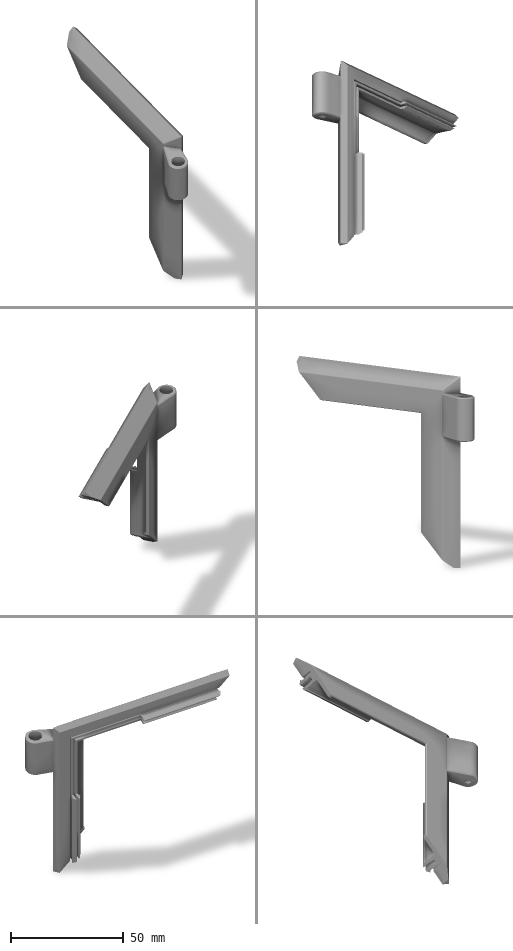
import cadquery as cq
import math


OVERALL_LENGTH = 97.5

LEG_LENGTH = 87.0
LEG_WIDTH = 17.6
LEG_THICKNESS = 8.0
TIP_FLAT = 2.1
RIDGE_Y = 5.9
WALL_WIDTH = 7.3
PLATE_THICKNESS = 2.0
EDGE_CHAMFER = 0.3
SLOPE_ROUND = 0.8

RECESS_DEPTH = 0.6
RECESS_BEVEL_WIDTH = 0.4
RECESS_BEVEL_HEIGHT = 0.6
RECESS_SETBACK = 1.2

ARM_ROOT_CENTRE = 9.4
ARM_LEAN = 0.2
ARM_HALF_WIDTH = 1.6
ARM_HALF_GAP = 0.6
ARM_ROOT_Y = 1.0
GAP_BOTTOM_Y = 4.1
OUTER_SLOT_BOTTOM_Y = 2.3
BEND_START_Y = 5.1
BEND_END_Y = 7.3
RAIL_HEIGHT = 3.4
RAIL_START = 42.5
NECK_HALF_WIDTH = 1.5
NECK_HEIGHT = 0.4
BARB_HALF_WIDTH = 2.0
BARB_HEIGHT = 1.8
BARB_FOOT_HEIGHT = 1.4
ARM_TIP_HALF_WIDTH = 1.0

EYE_RADIUS = 4.5
EYE_X = OVERALL_LENGTH - LEG_LENGTH - EYE_RADIUS
EYE_TOP_Z = -7.3
EYE_HEIGHT = 20.0
EYE_CHAMFER = 0.5
EYE_BURIAL = 1.5
BORE_DIAMETER = 3.0
COUNTERBORE_DIAMETER = 6.1
COUNTERBORE_DEPTH = EYE_HEIGHT / 2

BACK_RIDGE = LEG_THICKNESS - RIDGE_Y
ARM_TIP_CENTRE = ARM_ROOT_CENTRE + ARM_LEAN
ARM_TOP_Y = LEG_THICKNESS + RAIL_HEIGHT


def leg_prism(section, setback=0):
    """Top-leg prism of a (distance from ridge, y) section, mitred at the corner and at the tip.

    setback moves the tip mitre towards the corner.
    """
    prism = cq.Workplane("YZ").polyline([(y, -d) for d, y in section]).close().extrude(-LEG_LENGTH)
    tip_x = setback - LEG_LENGTH
    mitred = (
        cq.Workplane("XZ")
        .polyline([
            (0, 0),
            (tip_x, 0),
            (tip_x, -TIP_FLAT),
            (tip_x + LEG_WIDTH - TIP_FLAT, -LEG_WIDTH),
            (-LEG_WIDTH, -LEG_WIDTH),
        ])
        .close()
        .extrude(-ARM_TOP_Y)
    )
    return prism.intersect(mitred)


def frame_bar():
    """Sloped outer wall with the thin front plate."""
    plate_y = PLATE_THICKNESS
    return leg_prism([
        (0, RIDGE_Y),
        (RIDGE_Y, 0),
        (LEG_WIDTH - EDGE_CHAMFER, 0),
        (LEG_WIDTH, EDGE_CHAMFER),
        (LEG_WIDTH, plate_y),
        (ARM_ROOT_CENTRE, plate_y),
        (ARM_ROOT_CENTRE, OUTER_SLOT_BOTTOM_Y),
        (WALL_WIDTH, OUTER_SLOT_BOTTOM_Y),
        (WALL_WIDTH, LEG_THICKNESS),
        (BACK_RIDGE, LEG_THICKNESS),
    ])


def plate_recess():
    """Shallow recess between the snap arms and the inner edge, with a bevelled lip."""
    floor_y = PLATE_THICKNESS - RECESS_DEPTH
    return leg_prism([
        (ARM_ROOT_CENTRE + ARM_HALF_WIDTH, PLATE_THICKNESS),
        (ARM_ROOT_CENTRE + ARM_HALF_WIDTH, floor_y),
        (LEG_WIDTH - RECESS_BEVEL_WIDTH, floor_y),
        (LEG_WIDTH, floor_y - RECESS_BEVEL_HEIGHT),
        (LEG_WIDTH, PLATE_THICKNESS),
    ], RECESS_SETBACK)


def arm_stem(side):
    """Plain lower part of one arm; side is -1 towards the ridge and 1 towards the inner edge."""
    outer = side * ARM_HALF_WIDTH
    inner = side * ARM_HALF_GAP
    return leg_prism([
        (ARM_ROOT_CENTRE + outer, ARM_ROOT_Y),
        (ARM_ROOT_CENTRE + outer, BEND_START_Y),
        (ARM_TIP_CENTRE + outer, BEND_END_Y),
        (ARM_TIP_CENTRE + outer, LEG_THICKNESS),
        (ARM_TIP_CENTRE + inner, LEG_THICKNESS),
        (ARM_TIP_CENTRE + inner, BEND_END_Y),
        (ARM_ROOT_CENTRE + inner, BEND_START_Y),
        (ARM_ROOT_CENTRE + inner, GAP_BOTTOM_Y),
        (ARM_ROOT_CENTRE, GAP_BOTTOM_Y),
        (ARM_ROOT_CENTRE, ARM_ROOT_Y),
    ])


def barbed_rail(side):
    """Raised barbed end of one arm; side is -1 towards the ridge and 1 towards the inner edge."""
    half_section = [
        (ARM_HALF_GAP, LEG_THICKNESS),
        (NECK_HALF_WIDTH, LEG_THICKNESS),
        (NECK_HALF_WIDTH, LEG_THICKNESS + NECK_HEIGHT),
        (ARM_HALF_WIDTH, LEG_THICKNESS + NECK_HEIGHT),
        (ARM_HALF_WIDTH, LEG_THICKNESS + BARB_FOOT_HEIGHT),
        (BARB_HALF_WIDTH, LEG_THICKNESS + BARB_HEIGHT),
        (ARM_TIP_HALF_WIDTH, ARM_TOP_Y),
        (ARM_HALF_GAP, ARM_TOP_Y),
    ]
    full_length = leg_prism([(ARM_TIP_CENTRE + side * offset, y) for offset, y in half_section])
    corner_end = cq.Workplane("XY").box(2 * RAIL_START, 2 * ARM_TOP_Y, 2 * LEG_WIDTH)
    return full_length.cut(corner_end)


def frame():
    """Both legs, with the sharp front edges of their slopes rounded."""
    top_leg = frame_bar().cut(plate_recess())
    for side in (-1, 1):
        top_leg = top_leg.union(arm_stem(side)).union(barbed_rail(side))
    side_leg = top_leg.mirror(cq.Vector(1, 0, -1))
    legs = top_leg.union(side_leg).clean()

    leg_middle = -LEG_LENGTH / 2
    mitre_edge = (-RIDGE_Y / 2, RIDGE_Y / 2, -RIDGE_Y / 2)
    top_edge = (leg_middle, 0, -RIDGE_Y)
    side_edge = (-RIDGE_Y, 0, leg_middle)
    sharp_edges = [
        legs.edges(cq.selectors.NearestToPointSelector(point)).val()
        for point in (mitre_edge, top_edge, side_edge)
    ]
    return legs.newObject(sharp_edges).fillet(SLOPE_ROUND)


def flank(x, y, side):
    """Straight flank through (x, y) touching the eye on its back (side 1) or front (side -1).

    Returns its start, buried in the frame, and the point where it touches the eye.
    """
    distance = math.hypot(x - EYE_X, y)
    angle = math.atan2(y, x - EYE_X) - side * math.acos(EYE_RADIUS / distance)
    touch_x = EYE_X + EYE_RADIUS * math.cos(angle)
    touch_y = EYE_RADIUS * math.sin(angle)
    stretch = 1 + EYE_BURIAL / math.dist((x, y), (touch_x, touch_y))
    start = (touch_x + stretch * (x - touch_x), touch_y + stretch * (y - touch_y))
    return start, (touch_x, touch_y)


def hinge_eye():
    """Chamfered hinge lug whose flanks run from the edges of the slope to the round eye."""
    back_start, back_touch = flank(0, RIDGE_Y, 1)
    front_start, front_touch = flank(-RIDGE_Y, 0, -1)
    return (
        cq.Workplane("XY", origin=(0, 0, EYE_TOP_Z - EYE_HEIGHT))
        .moveTo(*front_start)
        .lineTo(*front_touch)
        .threePointArc((EYE_X + EYE_RADIUS, 0), back_touch)
        .lineTo(*back_start)
        .close()
        .extrude(EYE_HEIGHT)
        .faces("|Z")
        .edges()
        .chamfer(EYE_CHAMFER)
    )


def eye_bore():
    """Through hole with a counterbore from the top."""
    axis = cq.Workplane("XY", origin=(EYE_X, 0, EYE_TOP_Z))
    bore = axis.circle(BORE_DIAMETER / 2).extrude(-EYE_HEIGHT)
    return bore.union(axis.circle(COUNTERBORE_DIAMETER / 2).extrude(-COUNTERBORE_DEPTH))


result = frame().union(hinge_eye()).cut(eye_bore()).solids()